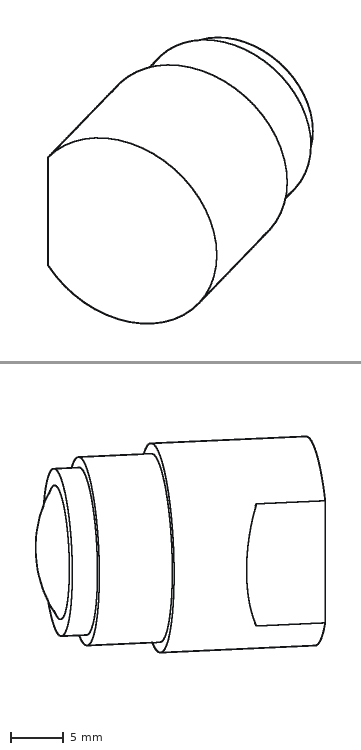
import cadquery as cq
import math

total_length = 26.45
body_length = 15.0
neck_length = 7.05
collar_length = 2.43
shoulder_end = body_length + neck_length
collar_end = shoulder_end + collar_length

body_radius = 20.0 / 2
neck_radius = 18.0 / 2
collar_radius = 16.0 / 2
dome_base_radius = 6.4

flat_depth = 2.0
flat_corner_y = 6.65
mouth_peak_y = 7.98
recess_floor_y = mouth_peak_y
recess_floor_radius = neck_radius
flat_x = flat_depth - body_radius


def turned_body():
    """Stepped cylinder with a spherical dome on its far end."""
    dome_height = total_length - collar_end
    dome_radius = (dome_base_radius**2 + dome_height**2) / (2 * dome_height)
    half_angle = math.asin(dome_base_radius / dome_radius) / 2
    dome_middle = (
        dome_radius * math.sin(half_angle),
        total_length - dome_radius * (1 - math.cos(half_angle)),
    )
    return (
        cq.Workplane("XY")
        .lineTo(body_radius, 0)
        .lineTo(body_radius, body_length)
        .lineTo(neck_radius, body_length)
        .lineTo(neck_radius, shoulder_end)
        .lineTo(collar_radius, shoulder_end)
        .lineTo(collar_radius, collar_end)
        .lineTo(dome_base_radius, collar_end)
        .threePointArc(dome_middle, (0, total_length))
        .close()
        .revolve(360, (0, 0, 0), (0, 1, 0))
    )


def segment(radius, start_y):
    """Circular segment beyond the flat, drawn in the XZ plane at start_y."""
    half_chord = math.sqrt(radius**2 - flat_x**2)
    return (
        cq.Workplane("XZ", origin=(0, start_y, 0))
        .moveTo(flat_x, -half_chord)
        .threePointArc((-radius, 0), (flat_x, half_chord))
        .close()
    )


def flat_cutter():
    """Segment of the body outside the flat, ending on the sloping recess mouth."""
    mouth_slope = (mouth_peak_y - flat_corner_y) / flat_depth
    reach = 2 * flat_depth
    sloping_end = (
        cq.Workplane("XY")
        .moveTo(flat_x, 0)
        .lineTo(flat_x, flat_corner_y)
        .lineTo(flat_x - reach, flat_corner_y + mouth_slope * reach)
        .lineTo(flat_x - reach, 0)
        .close()
        .extrude(body_radius, both=True)
    )
    return segment(body_radius, 0).extrude(-body_length).intersect(sloping_end)


def undercut_cutter(flat_tool):
    """Taper from the sloping recess mouth to the smaller segment of its floor."""
    mouth = flat_tool.faces(">Y").val().outerWire()
    floor = segment(recess_floor_radius, recess_floor_y).val()
    return cq.Workplane(cq.Solid.makeLoft([mouth, floor], True))


flat_tool = flat_cutter()
result = turned_body().cut(flat_tool).cut(undercut_cutter(flat_tool))
result = result.translate((0, -total_length / 2, 0))